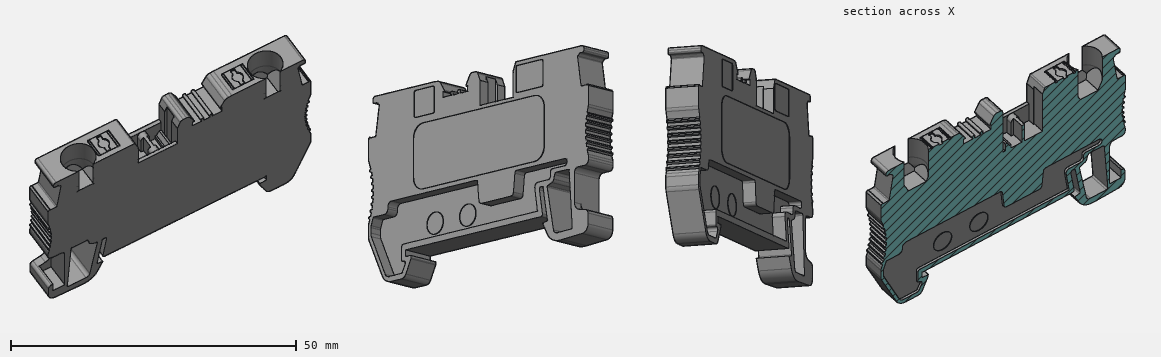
import cadquery as cq
import math

THICKNESS = 6.2
LENGTH = 54.0
HEIGHT = 34.2
HALF = LENGTH / 2

SHELF_Z = 26.9
SHELF_RIM_Z = 27.05
LIP_END_Y = 25.87
LIP_UNDER_Z = HEIGHT - 1.25
MARKER_FLOOR_Z = 31.0
MARKER_HOOK_Z = 32.0
SLOT_FLOOR_Z = 27.9
SLOT_LEFT_Y = -0.43
SLOT_RIGHT_Y = -8.44
SLOT_SHOULDER_Z = 32.4

RAIL_TOP_Z = 5.06
LEG_TOP_Z = 12.42
LEG_OUTER_Y = -23.57
LEG_VALLEY_RADIUS = 1.5
LEG_VALLEY_Z = 4.95

LEFT_GRIP_Z = 17.05
LEFT_GRIP_CHORD = 11.6
LEFT_GRIP_SAGITTA = 1.2
LEFT_TEETH = 8
LEFT_TEETH_Z = 16.65
RIGHT_GRIP_Z = 18.55
RIGHT_GRIP_CHORD = 9.0
RIGHT_GRIP_SAGITTA = 0.72
RIGHT_TEETH = 6
RIGHT_TEETH_Z = 18.5
GRIP_RIM_RADIUS = 1.6
TOOTH_PITCH = 1.24
TOOTH_HEIGHT = 0.35
TOOTH_BASE = 0.7
TOOTH_TIP = 0.25
TOOTH_ROOT = 0.2

POCKET_DEPTH = 2.4
RECESS_DEPTH = 0.1
LABEL_PANEL_Y = (-16.1, 15.95)
LABEL_PANEL_Z = (15.34, 27.27)
LABEL_PANEL_RADIUS = 2.4
LEFT_PANEL_Y = (10.83, 15.75)
RIGHT_PANEL_Y = (-15.8, -9.2)
TOP_PANEL_Z = (28.57, 33.47)
TOP_PANEL_RADIUS = 0.4
DIAL_DIAMETER = 4.0
DIAL_Z = 9.47
DIAL_Y = (13.0, 5.0)

ENTRY_Y = 19.2
ENTRY_X = 3.58
ENTRY_WIDTH = 5.88
ENTRY_LENGTH = 6.36
ENTRY_STRAIGHT_DEPTH = 4.5
ENTRY_TAPER_DEPTH = 3.0
ENTRY_TAPER = 1.5
ENTRY_FLOOR = 3.85
ENTRY_FLOOR_X = 3.4
ENTRY_FLOOR_SHIFT = 0.24

BUTTON_X = 3.25
BUTTON_Y = 13.75
BUTTON_WIDTH = 3.85
BUTTON_LENGTH = 3.57
BUTTON_RECESS = 0.06
END_GROOVE_WIDTH = 0.4
END_GROOVE_DEPTH = 0.3
SLOT_CROSS_WIDTH = 0.82
SLOT_CROSS_LENGTH = 3.5
BUTTON_EYE_DIAMETER = 2.0
BUTTON_MARK_DEPTH = 0.4

SOCKET_X = (0.78, 5.53)
SOCKET_DEPTH = 4.0
CHANNEL_X = (1.95, 4.3)
CHANNEL_DEPTH_LEFT = 0.45
CHANNEL_DEPTH_RIGHT = 0.2
BAR_WIDTH = 1.8
BAR_NECK = 0.65
LEDGE_LENGTH = 1.3
LEDGE_TOP_LENGTH = 0.4
LEDGE_TOP_Z = SLOT_FLOOR_Z - 2.3
LEDGE_SLOPE_Z = LEDGE_TOP_Z - 0.9
LEDGE_SLOPE_END = 1.0

FOOT_SLOT_X = 1.63
FOOT_SLOT_FLOOR_Z = 2.5
FOOT_SLOT_LIP_Y = -26.0


def rounded_outline(corners):
    """Closed YZ outline from (y, z, corner radius) entries; radius 0 keeps the corner sharp."""
    stretches = []
    count = len(corners)
    for i, (y, z, radius) in enumerate(corners):
        corner = cq.Vector(y, z)
        if radius == 0:
            stretches.append((corner, None, corner))
            continue
        to_previous = (cq.Vector(*corners[i - 1][:2]) - corner).normalized()
        to_next = (cq.Vector(*corners[(i + 1) % count][:2]) - corner).normalized()
        half_angle = to_previous.getAngle(to_next) / 2
        setback = radius / math.tan(half_angle)
        bisector = (to_previous + to_next).normalized()
        middle = corner + bisector * (radius / math.sin(half_angle) - radius)
        stretches.append((corner + to_previous * setback, middle, corner + to_next * setback))
    sketch = cq.Workplane("YZ").moveTo(*stretches[0][0].toTuple()[:2])
    for i, (start, middle, end) in enumerate(stretches):
        if i > 0:
            sketch = sketch.lineTo(*start.toTuple()[:2])
        if middle is not None:
            sketch = sketch.threePointArc(middle.toTuple()[:2], end.toTuple()[:2])
    return sketch.close()


def box_between(x_range, y_range, z_range):
    """Axis-aligned box spanning three (low, high) ranges."""
    sizes = [high - low for low, high in (x_range, y_range, z_range)]
    corner = (x_range[0], y_range[0], z_range[0])
    return cq.Workplane("XY").box(*sizes, centered=False).translate(corner)


def end_lip(side):
    """Corners of an end lip and the shelf below it, from the shelf up; side is +1 or -1 along Y."""
    return [
        (side * HALF, 26.7, 0),
        (side * 26.65, SHELF_RIM_Z, 0),
        (side * 26.5, SHELF_Z, 0),
        (side * 25.2, SHELF_Z, 0.2),
        (side * 24.33, 32.42, 0.1),
        (side * 24.9, LIP_UNDER_Z, 0.2),
        (side * LIP_END_Y, LIP_UNDER_Z, 0.3),
        (side * LIP_END_Y, HEIGHT, 0.55),
    ]


def housing():
    top = [
        (10.75, HEIGHT, 0),
        (9.5, 34.1, 1.0),
        (8.35, 32.2, 0.1),
        (8.35, MARKER_HOOK_Z, 0),
        (8.73, MARKER_HOOK_Z, 0),
        (8.73, MARKER_FLOOR_Z, 0),
        (2.7, MARKER_FLOOR_Z, 0),
        (2.7, MARKER_HOOK_Z, 0),
        (3.05, MARKER_HOOK_Z, 0),
        (3.05, 32.2, 0.1),
        (1.9, HEIGHT, 0.8),
        (0.3, HEIGHT, 0.7),
        (SLOT_LEFT_Y, SLOT_SHOULDER_Z, 0),
        (SLOT_LEFT_Y, SLOT_FLOOR_Z, 0),
        (SLOT_RIGHT_Y, SLOT_FLOOR_Z, 0),
        (SLOT_RIGHT_Y, SLOT_SHOULDER_Z, 0),
        (-9.15, HEIGHT, 0.3),
    ]
    right_foot = [
        (-HALF, LEG_TOP_Z, 0.9),
        (LEG_OUTER_Y, LEG_TOP_Z, 0.9),
        (LEG_OUTER_Y, LEG_VALLEY_Z, LEG_VALLEY_RADIUS),
        (-26.9, 4.25, 0.75),
        (-26.9, 0.25, 1.5),
        (-20.5, 0, 3.0),
        (-17.7, 0, 3.2),
        (-15.75, 3.8, 0),
        (-16.95, 4.05, 0.2),
        (-15.83, 10.5, 0.45),
        (-14.9, 10.5, 0.45),
        (-15.8, RAIL_TOP_Z, 0.4),
    ]
    left_foot = [
        (17.86, RAIL_TOP_Z, 0),
        (17.86, 3.92, 0),
        (16.5, 3.8, 0),
        (16.5, 3.3, 0.4),
        (18.1, 0, 1.2),
        (22.95, 0, 2.3),
        (HALF, 8.7, 2.0),
    ]
    corners = end_lip(1) + top + end_lip(-1)[::-1] + right_foot + left_foot
    return rounded_outline(corners).extrude(THICKNESS)


def marker_ridges(body):
    """Two small round-topped ridges along the marker groove."""
    radius = 0.33
    rise = 0.37
    stem_width = 0.5
    for y in (6.5, 4.75):
        crown = cq.Workplane("YZ").center(y, MARKER_FLOOR_Z + rise).circle(radius).extrude(THICKNESS)
        stem = box_between(
            (0, THICKNESS),
            (y - stem_width / 2, y + stem_width / 2),
            (MARKER_FLOOR_Z - rise, MARKER_FLOOR_Z + rise),
        )
        body = body.union(stem).union(crown)
    return body


def ribbed_grip(body, side, mid_z, chord, sagitta, tooth_count, teeth_mid_z):
    """Concave end face carrying evenly spaced ribs that point at the centre of the arc."""
    radius = chord ** 2 / (8 * sagitta) + sagitta / 2
    centre_y = side * (HALF - sagitta + radius)
    hollow = cq.Workplane("YZ").center(centre_y, mid_z).circle(radius).extrude(THICKNESS)
    body = body.cut(hollow)
    for edge_z in (mid_z - chord / 2, mid_z + chord / 2):
        rim = cq.NearestToPointSelector((THICKNESS / 2, side * HALF, edge_z))
        body = body.edges(rim).fillet(GRIP_RIM_RADIUS)
    envelope = box_between((0, THICKNESS), (-HALF, HALF), (0, HEIGHT))
    pitch_angle = math.degrees(TOOTH_PITCH / radius)
    middle_angle = math.degrees((teeth_mid_z - mid_z) / radius)
    for i in range(tooth_count):
        angle = middle_angle + (i - (tooth_count - 1) / 2) * pitch_angle
        root = centre_y - side * (radius + TOOTH_ROOT)
        foot = centre_y - side * radius
        tip = foot + side * TOOTH_HEIGHT
        tooth = (
            cq.Workplane("YZ")
            .polyline([
                (root, mid_z - TOOTH_BASE / 2),
                (foot, mid_z - TOOTH_BASE / 2),
                (tip, mid_z - TOOTH_TIP / 2),
                (tip, mid_z + TOOTH_TIP / 2),
                (foot, mid_z + TOOTH_BASE / 2),
                (root, mid_z + TOOTH_BASE / 2),
            ])
            .close()
            .extrude(THICKNESS)
            .rotate((0, centre_y, mid_z), (1, centre_y, mid_z), -side * angle)
        )
        body = body.union(tooth.intersect(envelope))
    return body


def foot_window(body):
    """Through opening that leaves the right foot as a springy loop."""
    corners = [
        (-18.8, LEG_TOP_Z, 0.5),
        (-22.25, LEG_TOP_Z, 0.3),
        (-23.05, 1.47, 0.3),
        (-18.55, 1.47, 0.8),
        (-16.85, 10.3, 0.2),
        (-18.4, 10.9, 0.8),
    ]
    return body.cut(rounded_outline(corners).extrude(THICKNESS))


def foot_slot(body):
    """Deepens the valley between the leg and the foot lip over most of the thickness."""
    slot = box_between(
        (FOOT_SLOT_X, THICKNESS),
        (FOOT_SLOT_LIP_Y, LEG_OUTER_Y),
        (FOOT_SLOT_FLOOR_Z, LEG_VALLEY_Z + LEG_VALLEY_RADIUS),
    )
    return body.cut(slot)


def lower_pocket(body):
    """Pocket in the lower part of the open side, following the foot and the rail face."""
    roof_z = 14.52
    floor_z = 6.2
    tab_z = 10.1
    corners = [
        (25.75, 12.4, 0.2),
        (22.2, 12.4, 0.9),
        (22.2, roof_z, 0.9),
        (0.25, roof_z, 0.4),
        (-0.2, tab_z, 0.7),
        (-8.55, tab_z, 0.7),
        (-9.0, roof_z, 0.5),
        (-21.75, roof_z, 0.64),
        (-21.75, 13.22, 0.64),
        (-17.7, 13.22, 0.5),
        (-17.7, 11.42, 0.6),
        (-13.7, 11.42, 0.8),
        (-14.5, floor_z, 0.1),
        (18.84, floor_z, 0.5),
        (18.84, 3.15, 0.25),
        (17.6, 3.1, 0.5),
        (18.75, 1.0, 0.3),
        (22.6, 1.0, 0.9),
        (26.4, 9.3, 1.5),
        (26.35, 10.8, 1.0),
    ]
    return body.cut(rounded_outline(corners).extrude(POCKET_DEPTH))


def side_panel(body, y_range, z_range, radius):
    """Shallow rounded rectangular recess in the open side."""
    panel = (
        box_between((0, RECESS_DEPTH), y_range, z_range)
        .edges("|X")
        .fillet(radius)
    )
    return body.cut(panel)


def date_dials(body):
    """Shallow round recesses in the pocket floor."""
    dials = (
        cq.Workplane("YZ", origin=(POCKET_DEPTH, 0, 0))
        .pushPoints([(y, DIAL_Z) for y in DIAL_Y])
        .circle(DIAL_DIAMETER / 2)
        .extrude(RECESS_DEPTH)
    )
    return body.cut(dials)


def wire_entry(body, side):
    """Round wire entry, open towards +X, narrowing through a funnel to a square floor."""
    depth = ENTRY_STRAIGHT_DEPTH + ENTRY_TAPER_DEPTH
    shaft = (
        cq.Workplane("XY", origin=(ENTRY_X, side * ENTRY_Y, HEIGHT - depth))
        .ellipse(ENTRY_WIDTH / 2, ENTRY_LENGTH / 2)
        .extrude(depth)
    )
    rim = ENTRY_FLOOR + 2 * ENTRY_TAPER
    floor_y = side * (ENTRY_Y - ENTRY_FLOOR_SHIFT)
    funnel = (
        cq.Workplane("XY", origin=(ENTRY_FLOOR_X, floor_y, HEIGHT - depth))
        .rect(ENTRY_FLOOR, ENTRY_FLOOR)
        .workplane(offset=ENTRY_TAPER_DEPTH)
        .rect(rim, rim)
        .loft(combine=True)
    )
    mouth = shaft.intersect(box_between(
        (0, 2 * THICKNESS), (-HALF, HALF), (HEIGHT - ENTRY_STRAIGHT_DEPTH, HEIGHT)
    ))
    return body.cut(mouth).cut(funnel.intersect(shaft))


def screwdriver_button(body, side):
    """Actuating button with a crossing slot, an eye and a groove at each end."""
    top = cq.Workplane("XY", origin=(BUTTON_X, side * BUTTON_Y, HEIGHT))
    face = top.rect(BUTTON_WIDTH, BUTTON_LENGTH).extrude(-BUTTON_RECESS)
    groove_offset = (BUTTON_LENGTH + END_GROOVE_WIDTH) / 2
    grooves = (
        top.pushPoints([(0, groove_offset), (0, -groove_offset)])
        .rect(BUTTON_WIDTH, END_GROOVE_WIDTH)
        .extrude(-END_GROOVE_DEPTH)
    )
    cross_slot = top.rect(SLOT_CROSS_LENGTH, SLOT_CROSS_WIDTH).extrude(-BUTTON_MARK_DEPTH)
    eye = top.circle(BUTTON_EYE_DIAMETER / 2).extrude(-BUTTON_MARK_DEPTH)
    return body.cut(face).cut(grooves).cut(cross_slot).cut(eye)


def bridge_socket(body):
    """Socket below the bridge slot, with a cross bar, a sloped ledge and guide channels."""
    floor_z = SLOT_FLOOR_Z - SOCKET_DEPTH
    socket = box_between(SOCKET_X, (SLOT_RIGHT_Y, SLOT_LEFT_Y), (floor_z, SLOT_FLOOR_Z))
    channel = box_between(
        CHANNEL_X,
        (SLOT_RIGHT_Y - CHANNEL_DEPTH_RIGHT, SLOT_LEFT_Y + CHANNEL_DEPTH_LEFT),
        (floor_z, HEIGHT),
    )
    body = body.cut(socket).cut(channel)

    bar_y = (SLOT_LEFT_Y + SLOT_RIGHT_Y) / 2
    half_bar = BAR_WIDTH / 2
    width = SOCKET_X[1] - SOCKET_X[0]
    bar = (
        cq.Workplane("YZ", origin=(SOCKET_X[0], 0, 0))
        .moveTo(bar_y - half_bar, floor_z)
        .lineTo(bar_y - half_bar, SLOT_FLOOR_Z - half_bar)
        .threePointArc((bar_y, SLOT_FLOOR_Z), (bar_y + half_bar, SLOT_FLOOR_Z - half_bar))
        .lineTo(bar_y + half_bar, floor_z)
        .close()
        .extrude(width)
    )
    for side in (-1, 1):
        flank = sorted((bar_y + side * BAR_NECK / 2, bar_y + side * BAR_WIDTH))
        bar = bar.cut(box_between(CHANNEL_X, flank, (floor_z, SLOT_FLOOR_Z)))

    ledge = (
        cq.Workplane("YZ", origin=(SOCKET_X[0], 0, 0))
        .polyline([
            (SLOT_LEFT_Y, floor_z),
            (SLOT_LEFT_Y, LEDGE_TOP_Z),
            (SLOT_LEFT_Y - LEDGE_TOP_LENGTH, LEDGE_TOP_Z),
            (SLOT_LEFT_Y - LEDGE_SLOPE_END, LEDGE_SLOPE_Z),
            (SLOT_LEFT_Y - LEDGE_LENGTH, LEDGE_SLOPE_Z),
            (SLOT_LEFT_Y - LEDGE_LENGTH, floor_z),
        ])
        .close()
        .extrude(width)
    )
    return body.union(bar).union(ledge)


body = marker_ridges(housing())
body = ribbed_grip(
    body, 1, LEFT_GRIP_Z, LEFT_GRIP_CHORD, LEFT_GRIP_SAGITTA, LEFT_TEETH, LEFT_TEETH_Z
)
body = ribbed_grip(
    body, -1, RIGHT_GRIP_Z, RIGHT_GRIP_CHORD, RIGHT_GRIP_SAGITTA, RIGHT_TEETH, RIGHT_TEETH_Z
)
body = foot_window(body)
body = foot_slot(body)
body = lower_pocket(body)
body = date_dials(body)
body = side_panel(body, LABEL_PANEL_Y, LABEL_PANEL_Z, LABEL_PANEL_RADIUS)
for panel_y in (LEFT_PANEL_Y, RIGHT_PANEL_Y):
    body = side_panel(body, panel_y, TOP_PANEL_Z, TOP_PANEL_RADIUS)
for end in (1, -1):
    body = wire_entry(body, end)
    body = screwdriver_button(body, end)
body = bridge_socket(body)

result = body